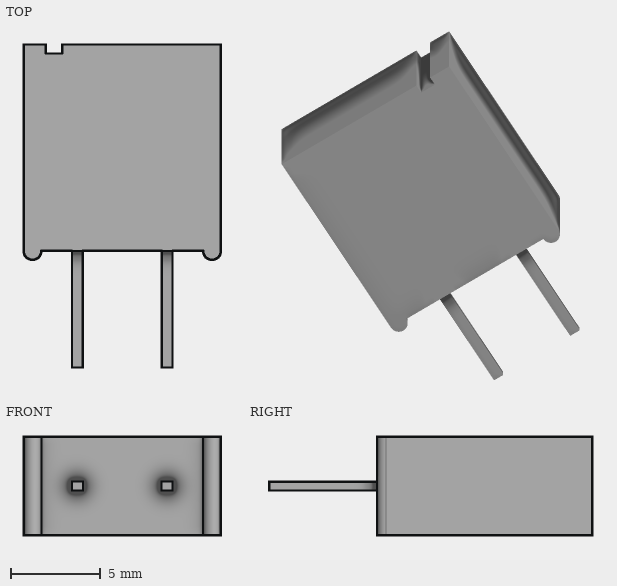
import cadquery as cq


case_width = 11.0
case_length = 11.5
case_height = 5.5

rib_radius = 0.5

notch_offset = 1.25
notch_width = 0.9
notch_depth = 0.5

lead_width = 0.6
lead_thickness = 0.5
lead_pitch = 5.0
lead_length = 6.5

half_width = case_width / 2
notch_left = -half_width + notch_offset
notch_right = notch_left + notch_width
notch_floor = case_length - notch_depth
rib_inner = half_width - 2 * rib_radius
rib_centre = half_width - rib_radius


def make_case():
    """Extrude the case outline, including the ribs and the notch."""
    return (
        cq.Workplane("XY")
        .workplane(offset=-case_height / 2)
        .moveTo(-half_width, 0)
        .threePointArc((-rib_centre, -rib_radius), (-rib_inner, 0))
        .lineTo(rib_inner, 0)
        .threePointArc((rib_centre, -rib_radius), (half_width, 0))
        .lineTo(half_width, case_length)
        .lineTo(notch_right, case_length)
        .lineTo(notch_right, notch_floor)
        .lineTo(notch_left, notch_floor)
        .lineTo(notch_left, case_length)
        .lineTo(-half_width, case_length)
        .close()
        .extrude(case_height)
    )


def make_lead(x_centre):
    """A rectangular lead that starts at the lead face and runs toward -Y."""
    return (
        cq.Workplane("XZ")
        .center(x_centre, 0)
        .rect(lead_width, lead_thickness)
        .extrude(lead_length)
    )


case = make_case()
leads = [make_lead(side * lead_pitch / 2) for side in (-1, 1)]

result = cq.Compound.makeCompound([case.val(), *[lead.val() for lead in leads]])